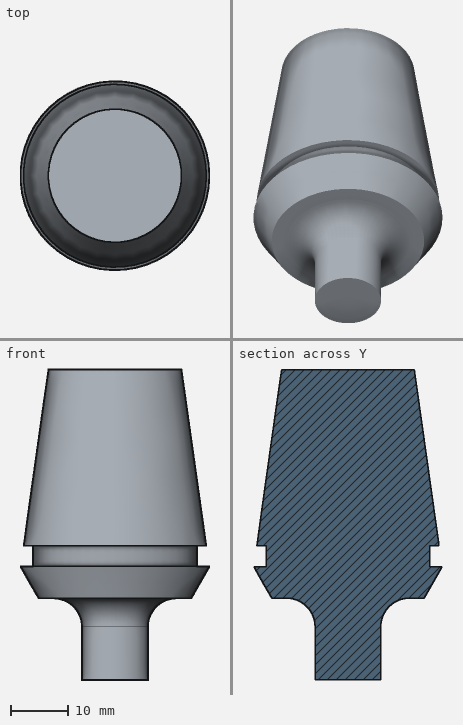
import cadquery as cq

STEM_DIAMETER = 11.6
FLANGE_BOTTOM_DIAMETER = 26.7
FLANGE_TOP_DIAMETER = 33.1
NECK_DIAMETER = 28.8
HEAD_BOTTOM_DIAMETER = 32.0
HEAD_TOP_DIAMETER = 23.3

STEM_LENGTH = 9.4
STEM_FILLET_RADIUS = 4.9
FLANGE_HEIGHT = 5.6
NECK_HEIGHT = 3.6
TOTAL_HEIGHT = 54.4

FLANGE_BOTTOM_Z = STEM_LENGTH + STEM_FILLET_RADIUS
FLANGE_TOP_Z = FLANGE_BOTTOM_Z + FLANGE_HEIGHT
HEAD_BOTTOM_Z = FLANGE_TOP_Z + NECK_HEIGHT


def half_profile():
    """Closed half section in the XZ plane, to be turned about Z."""
    stem_radius = STEM_DIAMETER / 2
    return (
        cq.Workplane("XZ")
        .moveTo(0, 0)
        .lineTo(stem_radius, 0)
        .lineTo(stem_radius, STEM_LENGTH)
        .radiusArc((stem_radius + STEM_FILLET_RADIUS, FLANGE_BOTTOM_Z), STEM_FILLET_RADIUS)
        .lineTo(FLANGE_BOTTOM_DIAMETER / 2, FLANGE_BOTTOM_Z)
        .lineTo(FLANGE_TOP_DIAMETER / 2, FLANGE_TOP_Z)
        .lineTo(NECK_DIAMETER / 2, FLANGE_TOP_Z)
        .lineTo(NECK_DIAMETER / 2, HEAD_BOTTOM_Z)
        .lineTo(HEAD_BOTTOM_DIAMETER / 2, HEAD_BOTTOM_Z)
        .lineTo(HEAD_TOP_DIAMETER / 2, TOTAL_HEIGHT)
        .lineTo(0, TOTAL_HEIGHT)
        .close()
    )


result = half_profile().revolve(360, (0, 0, 0), (0, 1, 0))